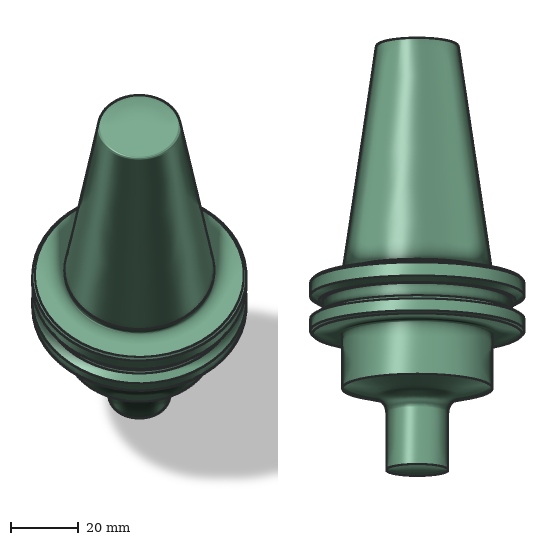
import cadquery as cq
import math

total_height = 128.2
shank_top = 17.3
flange_bottom = 41.2
flange_top = 57.2
taper_bottom = 59.4

shank_diameter = 18.3
body_diameter = 44.5
neck_diameter = 44.0
flange_diameter = 63.5
groove_diameter = 56.0

taper_ratio = 7 / 24
tip_fillet = 0.9
taper_chamfer = 0.3

flange_chamfer = 0.8
neck_fillet = 0.5
body_fillet = 0.8
groove_center = 49.0
groove_floor_width = 4.0
groove_mouth_width = 6.9
groove_wall_angle = math.radians(30)

shank_fillet = 5.0
cone_angle = math.radians(15)

shank_radius = shank_diameter / 2
body_radius = body_diameter / 2
neck_radius = neck_diameter / 2
flange_radius = flange_diameter / 2
groove_radius = groove_diameter / 2
tip_radius = body_radius - (total_height - taper_bottom) * taper_ratio / 2

wall_height = (groove_mouth_width - groove_floor_width) / 2
ledge_radius = flange_radius - wall_height / math.tan(groove_wall_angle)
groove_floor_low = groove_center - groove_floor_width / 2
groove_floor_high = groove_center + groove_floor_width / 2


def point_on_arc(center, radius, angle):
    """Point at the given angle, in radians, on an arc in the radius-height plane."""
    return (center[0] + radius * math.cos(angle), center[1] + radius * math.sin(angle))


fillet_center = (shank_radius + shank_fillet, shank_top)
fillet_end_angle = math.pi / 2 + cone_angle
fillet_mid = point_on_arc(fillet_center, shank_fillet, (math.pi + fillet_end_angle) / 2)
fillet_end = point_on_arc(fillet_center, shank_fillet, fillet_end_angle)
body_bottom = fillet_end[1] + (body_radius - fillet_end[0]) * math.tan(cone_angle)

body_fillet_center = (body_radius + body_fillet, flange_bottom - body_fillet)
body_fillet_mid = point_on_arc(body_fillet_center, body_fillet, 0.75 * math.pi)
neck_fillet_center = (neck_radius + neck_fillet, flange_top + neck_fillet)
neck_fillet_mid = point_on_arc(neck_fillet_center, neck_fillet, 1.25 * math.pi)

profile = (
    cq.Workplane("XZ")
    .moveTo(0, 0)
    .lineTo(shank_radius, 0)
    .lineTo(shank_radius, shank_top)
    .threePointArc(fillet_mid, fillet_end)
    .lineTo(body_radius, body_bottom)
    .lineTo(body_radius, body_fillet_center[1])
    .threePointArc(body_fillet_mid, (body_fillet_center[0], flange_bottom))
    .lineTo(flange_radius - flange_chamfer, flange_bottom)
    .lineTo(flange_radius, flange_bottom + flange_chamfer)
    .lineTo(flange_radius, groove_center - groove_mouth_width / 2)
    .lineTo(ledge_radius, groove_floor_low)
    .lineTo(groove_radius, groove_floor_low)
    .lineTo(groove_radius, groove_floor_high)
    .lineTo(ledge_radius, groove_floor_high)
    .lineTo(flange_radius, groove_center + groove_mouth_width / 2)
    .lineTo(flange_radius, flange_top - flange_chamfer)
    .lineTo(flange_radius - flange_chamfer, flange_top)
    .lineTo(neck_fillet_center[0], flange_top)
    .threePointArc(neck_fillet_mid, (neck_radius, neck_fillet_center[1]))
    .lineTo(neck_radius, taper_bottom - taper_chamfer)
    .lineTo(body_radius, taper_bottom)
    .lineTo(tip_radius, total_height)
    .lineTo(0, total_height)
    .close()
)

holder = profile.revolve(360, (0, 0, 0), (0, 1, 0))
result = holder.faces(">Z").edges().fillet(tip_fillet)